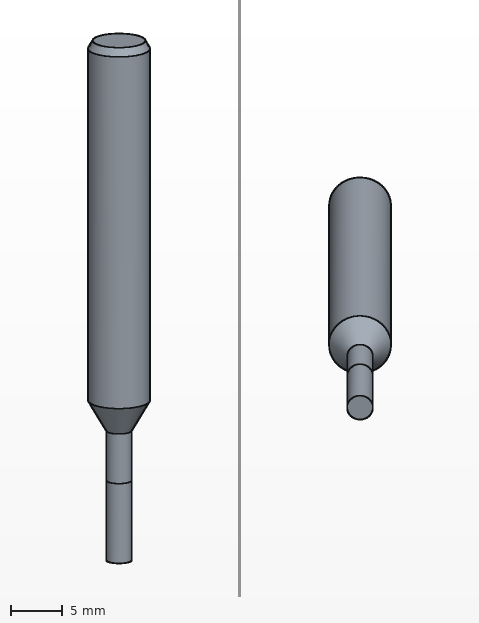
import cadquery as cq
import math

total_length = 52.0
shank_radius = 3.0
tip_radius = 1.25
taper_half_angle = math.radians(30)

cutter_length = 8.0
taper_top = 16.0
taper_height = (shank_radius - tip_radius) / math.tan(taper_half_angle)
neck_top = taper_top - taper_height

chamfer_height = 0.8
chamfer_width = chamfer_height * math.tan(taper_half_angle)


def revolve_profile(points):
    """Revolve an outline of (radius, height) points about the Z axis."""
    axis_start = (0, 0)
    axis_end = (0, 1)
    return cq.Workplane("XZ").polyline(points).close().revolve(360, axis_start, axis_end)


def make_cutter():
    """Plain cylindrical cutting end."""
    return revolve_profile([
        (0, 0),
        (tip_radius, 0),
        (tip_radius, cutter_length),
        (0, cutter_length),
    ])


def make_shank():
    """Neck, taper and chamfered clamping shank in one piece."""
    return revolve_profile([
        (0, cutter_length),
        (tip_radius, cutter_length),
        (tip_radius, neck_top),
        (shank_radius, taper_top),
        (shank_radius, total_length - chamfer_height),
        (shank_radius - chamfer_width, total_length),
        (0, total_length),
    ])


cutter = make_cutter()
shank = make_shank()

result = cq.Compound.makeCompound([cutter.val(), shank.val()])